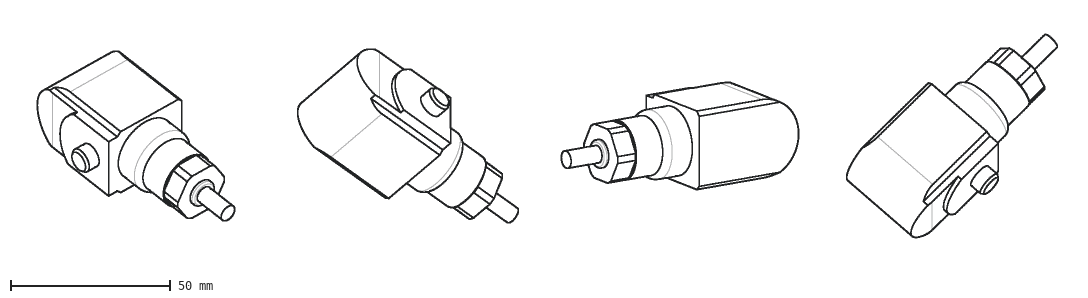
import cadquery as cq


housing_length = 37.5
housing_height = 25.5
end_radius = housing_height / 2
back_y = 15.0
edge_chamfer = 1.4
step_half_height = end_radius - edge_chamfer
front_chamfer_start_y = back_y - 25.1
mount_face_y = back_y - 30.0

recess_depth = 1.5
recess_y = mount_face_y + recess_depth
slope_length = 8.45
slope_rise = 0.9
pad_radius = 15.4
pad_center_x = 29.25
pad_center_z = -1.3

pin_x = 28.9
pin_radius = 4.0
pin_length = 5.0
pin_chamfer_axial = 0.9
pin_chamfer_radial = 0.7

collar_radius = 11.1
collar_end_x = 47.9
collar_fillet = 2.7
barrel_radius = 9.55
barrel_end_x = 57.7
barrel_chamfer = 0.2
nut_across_flats = 17.5
nut_corner_radius = 9.55
nut_turn = 30
nut_end_x = 64.55
ring_radius = 4.5
ring_end_x = 65.95
ring_fillet = 0.6
cable_radius = 2.8
cable_end_x = 77.6


def axial_cylinder(start_x, end_x, radius):
    return cq.Workplane("YZ", origin=(start_x, 0, 0)).circle(radius).extrude(end_x - start_x)


def make_housing():
    """Side outline with a round end, trimmed to the chamfered cross-section."""
    depth = back_y - mount_face_y
    outline = (
        cq.Workplane("XZ", origin=(0, back_y, 0))
        .moveTo(housing_length, -end_radius)
        .lineTo(end_radius, -end_radius)
        .threePointArc((0, 0), (end_radius, end_radius))
        .lineTo(housing_length, end_radius)
        .close()
        .extrude(depth)
    )
    upper_half = [
        (mount_face_y, step_half_height),
        (front_chamfer_start_y - edge_chamfer, step_half_height),
        (front_chamfer_start_y, end_radius),
        (back_y - edge_chamfer, end_radius),
        (back_y, step_half_height),
    ]
    lower_half = [(y, -z) for y, z in reversed(upper_half)]
    section = cq.Workplane("YZ").polyline(upper_half + lower_half).close().extrude(housing_length)
    return outline.intersect(section)


def make_face_relief():
    """Material removed in front of the recess and slope, leaving the curved pad."""
    relief = (
        cq.Workplane("XY", origin=(0, 0, -end_radius))
        .polyline([
            (0, mount_face_y),
            (0, recess_y + slope_rise),
            (slope_length, recess_y),
            (pad_center_x, recess_y),
            (pad_center_x, mount_face_y),
        ])
        .close()
        .extrude(housing_height)
    )
    pad = (
        cq.Workplane("XZ", origin=(0, recess_y, 0))
        .center(pad_center_x, pad_center_z)
        .circle(pad_radius)
        .extrude(recess_depth)
    )
    return relief.cut(pad)


def make_pin():
    pin = cq.Workplane("XZ", origin=(pin_x, mount_face_y, 0)).circle(pin_radius).extrude(pin_length)
    return pin.faces("<Y").chamfer(pin_chamfer_axial, pin_chamfer_radial)


def make_nut():
    """Hexagon with horizontal flats and corners turned round."""
    width = nut_end_x - barrel_end_x
    hexagon = (
        cq.Workplane("YZ", origin=(barrel_end_x, 0, 0))
        .transformed(rotate=(0, 0, nut_turn))
        .polygon(6, nut_across_flats, circumscribed=True)
        .extrude(width)
    )
    return hexagon.intersect(axial_cylinder(barrel_end_x, nut_end_x, nut_corner_radius))


def make_gland():
    collar = axial_cylinder(housing_length, collar_end_x, collar_radius).faces(">X").edges().fillet(collar_fillet)
    barrel = axial_cylinder(housing_length, barrel_end_x, barrel_radius).faces(">X").chamfer(barrel_chamfer)
    ring = axial_cylinder(nut_end_x, ring_end_x, ring_radius).faces(">X").edges().fillet(ring_fillet)
    cable = axial_cylinder(ring_end_x, cable_end_x, cable_radius)
    return collar.union(barrel).union(make_nut()).union(ring).union(cable)


housing = make_housing().cut(make_face_relief())
result = housing.union(make_pin()).union(make_gland())